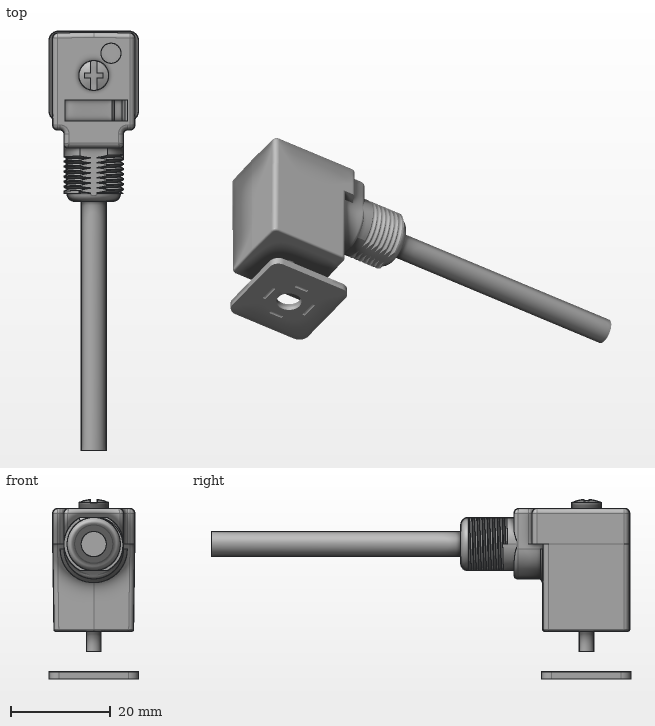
import cadquery as cq
import math

gasket_side = 18.0
gasket_thickness = 1.5
gasket_corner_radius = 2.0
gasket_hole_diameter = 5.0
blade_slot_offset = 4.7
blade_slot_width = 0.6
long_slot_length = 3.7
short_slot_length = 2.85

housing_bottom = 9.6
parting_level = 27.05
housing_top = 34.2

head_half_width = 8.2
foot_half_width = 8.0
housing_half_depth = 8.7
face_bend = 0.2
corner_radius = 1.0
bottom_edge_radius = 0.4
head_front = -10.8

neck_half_width = 6.0
neck_front = -14.45
neck_arc_level = 26.0
neck_edge_radius = 0.75
neck_inner_radius = 0.75
flare_width = 0.75
flare_depth = 0.4

gland_radius = neck_half_width
gland_end_step = 0.63
gland_core_radius = gland_radius - gland_end_step
gland_flat_height = 5.3
gland_end = -25.1
gland_end_radius = 1.5
thread_start = -16.1
thread_end = -23.5
thread_pitch = 1.0
thread_depth = 0.71
thread_root_radius = gland_radius - thread_depth
thread_groove_width = 0.8
groove_overshoot = 0.1

cable_diameter = 5.0
overall_length = 84.0
cable_end = gasket_side / 2 - overall_length

screw_y = 0.1
screw_head_diameter = 6.0
screw_seat_level = 34.0
screw_rim_level = 35.4
screw_top = 36.0
screw_shank_diameter = 2.9
screw_shank_end = 5.55
drive_slot_width = 1.35
drive_cross_width = 1.0
drive_cross_length = 3.8

indicator_diameter = 4.0
indicator_x = 3.45
indicator_y = 4.5
indicator_depth = 0.1

window_left = -5.8
window_right = 6.7
window_back = -4.9
window_front = -9.0
window_shelf_end = 3.6
window_floor_start = 4.1
window_floor_end = 5.6
window_ramp_end = 6.2
window_shelf_depth = 1.35
window_floor_depth = 1.9
window_lip_depth = 0.5


def along_cable(radius, start, end):
    """Cylinder on the gland axis from Y = start forward to Y = end."""
    plane = cq.Plane(origin=(0, start, parting_level), xDir=(1, 0, 0), normal=(0, -1, 0))
    return cq.Workplane(plane).circle(radius).extrude(start - end)


def bent_outline(half_width):
    """Points of a rectangle whose front and back sides are bent at the middle."""
    corner_y = housing_half_depth - face_bend
    return [
        (-half_width, -corner_y),
        (0, -housing_half_depth),
        (half_width, -corner_y),
        (half_width, corner_y),
        (0, housing_half_depth),
        (-half_width, corner_y),
    ]


def make_foot():
    """Lower housing block, narrowing downwards across X."""
    foot = (
        cq.Workplane("XY", origin=(0, 0, housing_bottom))
        .polyline(bent_outline(foot_half_width))
        .close()
        .workplane(offset=parting_level - housing_bottom)
        .polyline(bent_outline(head_half_width))
        .close()
        .loft(ruled=True)
    )
    middle_zone = cq.selectors.BoxSelector(
        (-head_half_width / 2, -housing_half_depth - face_bend, housing_bottom),
        (head_half_width / 2, housing_half_depth + face_bend, parting_level),
    )
    upright_edges = foot.edges("not(#Z)")
    foot = upright_edges.edges(cq.selectors.InverseSelector(middle_zone)).fillet(corner_radius)
    return foot.faces("<Z").edges().fillet(bottom_edge_radius)


def make_head():
    """Upper housing block with the U-shaped neck, rounded along its edges."""
    corner_y = housing_half_depth - face_bend
    block = (
        cq.Workplane("XY", origin=(0, 0, parting_level))
        .moveTo(-head_half_width, head_front)
        .lineTo(head_half_width, head_front)
        .lineTo(head_half_width, corner_y)
        .lineTo(0, housing_half_depth)
        .lineTo(-head_half_width, corner_y)
        .close()
        .extrude(housing_top - parting_level)
    )
    neck = (
        cq.Workplane("XZ")
        .moveTo(-neck_half_width, housing_top)
        .lineTo(-neck_half_width, neck_arc_level)
        .threePointArc((0, neck_arc_level - neck_half_width), (neck_half_width, neck_arc_level))
        .lineTo(neck_half_width, housing_top)
        .close()
        .extrude(-neck_front)
    )
    head = block.union(neck)

    def round_upright(solid, x, y, radius):
        nearest = cq.selectors.NearestToPointSelector((x, y, (parting_level + housing_top) / 2))
        return solid.edges("|Z").edges(nearest).fillet(radius)

    for side in (-1, 1):
        head = round_upright(head, side * neck_half_width, head_front, neck_inner_radius)
        head = round_upright(head, side * head_half_width, head_front, corner_radius)
        head = round_upright(head, side * head_half_width, corner_y, corner_radius)
    head = head.faces("<Y").edges("not(>Z)").fillet(neck_edge_radius)
    return head.faces(">Z").edges().fillet(corner_radius)


def make_neck_flare():
    """Half ring that widens the round underside of the neck where it meets the foot."""
    inner = neck_half_width
    return (
        cq.Workplane("XY", origin=(0, 0, neck_arc_level))
        .moveTo(0, -housing_half_depth + flare_depth)
        .lineTo(inner + flare_width, -housing_half_depth + flare_depth)
        .lineTo(inner + flare_width, -housing_half_depth)
        .lineTo(inner, -housing_half_depth - flare_depth)
        .lineTo(0, -housing_half_depth - flare_depth)
        .close()
        .revolve(180, (0, 0, 0), (0, 1, 0))
    )


def make_thread_groove():
    """V-shaped groove winding forward along the gland axis."""
    thread_length = thread_start - thread_end
    outer_radius = gland_radius + groove_overshoot
    depth_ratio = (thread_depth + groove_overshoot) / thread_depth
    half_width = thread_groove_width / 2 * depth_ratio
    path = cq.Wire.makeHelix(thread_pitch, thread_length, thread_root_radius)
    groove = (
        cq.Workplane("XZ")
        .moveTo(thread_root_radius, 0)
        .lineTo(outer_radius, half_width)
        .lineTo(outer_radius, -half_width)
        .close()
        .sweep(cq.Workplane(path), isFrenet=True)
    )
    return groove.rotate((0, 0, 0), (1, 0, 0), 90).translate((0, thread_start, parting_level))


def make_gland():
    """Threaded cable gland with a rounded end and flats above and below."""
    core = along_cable(gland_core_radius, neck_front + corner_radius, gland_end)
    core = core.faces("<Y").edges().fillet(gland_end_radius)
    blank = along_cable(gland_radius, neck_front + corner_radius, gland_end - thread_pitch)
    sleeve = blank.cut(make_thread_groove())
    sleeve = sleeve.cut(along_cable(2 * gland_radius, thread_end, gland_end - 2 * thread_pitch))
    between_flats = cq.Workplane("XY", origin=(0, 0, parting_level)).box(
        2 * gland_radius, 2 * overall_length, 2 * gland_flat_height
    )
    return core.union(sleeve).intersect(between_flats)


def make_screw():
    """Screw with a domed head, cross drive and a plain shank."""
    head_radius = screw_head_diameter / 2
    dome_rise = screw_top - screw_rim_level
    dome_radius = (head_radius**2 + dome_rise**2) / (2 * dome_rise)
    mid_x = head_radius / 2
    mid_z = screw_top - dome_radius + math.sqrt(dome_radius**2 - mid_x**2)
    shank_radius = screw_shank_diameter / 2
    screw = (
        cq.Workplane("XZ")
        .moveTo(0, screw_shank_end)
        .lineTo(shank_radius, screw_shank_end)
        .lineTo(shank_radius, screw_seat_level)
        .lineTo(head_radius, screw_seat_level)
        .lineTo(head_radius, screw_rim_level)
        .threePointArc((mid_x, mid_z), (0, screw_top))
        .close()
        .revolve(360, (0, 0, 0), (0, 1, 0))
    )
    drive = (
        cq.Workplane("XY", origin=(0, 0, screw_rim_level))
        .rect(drive_slot_width, screw_head_diameter)
        .extrude(dome_rise)
        .union(
            cq.Workplane("XY", origin=(0, 0, screw_rim_level))
            .rect(drive_cross_length, drive_cross_width)
            .extrude(dome_rise)
        )
    )
    return screw.cut(drive).translate((0, screw_y, 0))


def make_window():
    """Stepped pocket, an X-Z profile extruded along Y."""
    return (
        cq.Workplane("XZ", origin=(0, window_back, housing_top))
        .moveTo(window_left, 0)
        .lineTo(window_left, -window_shelf_depth)
        .lineTo(window_shelf_end, -window_shelf_depth)
        .lineTo(window_floor_start, -window_floor_depth)
        .lineTo(window_floor_end, -window_floor_depth)
        .lineTo(window_ramp_end, -window_lip_depth)
        .lineTo(window_right, 0)
        .close()
        .extrude(window_back - window_front)
    )


def make_indicator():
    """Shallow disc that marks the indicator in the top face."""
    return (
        cq.Workplane("XY", origin=(indicator_x, indicator_y, housing_top - indicator_depth))
        .circle(indicator_diameter / 2)
        .extrude(indicator_depth)
    )


def make_connector():
    """Housing, gland, cable and screw as one solid."""
    housing = make_foot().union(make_head()).union(make_neck_flare())
    housing = housing.cut(make_window()).cut(make_indicator())
    cable = along_cable(cable_diameter / 2, neck_front, cable_end)
    return housing.union(make_gland()).union(cable).union(make_screw())


def make_gasket():
    """Flat gasket with a central hole and four blade slots."""
    plate = (
        cq.Workplane("XY")
        .rect(gasket_side, gasket_side)
        .extrude(gasket_thickness)
        .edges("|Z")
        .fillet(gasket_corner_radius)
    )
    holes = cq.Workplane("XY").circle(gasket_hole_diameter / 2).extrude(gasket_thickness)
    for side in (-1, 1):
        offset = side * blade_slot_offset
        long_slot = cq.Workplane("XY").center(0, offset).rect(long_slot_length, blade_slot_width)
        short_slot = cq.Workplane("XY").center(offset, 0).rect(blade_slot_width, short_slot_length)
        holes = holes.union(long_slot.extrude(gasket_thickness))
        holes = holes.union(short_slot.extrude(gasket_thickness))
    return plate.cut(holes)


connector = make_connector()
gasket = make_gasket()
result = cq.Compound.makeCompound([connector.solids().val(), gasket.solids().val()])